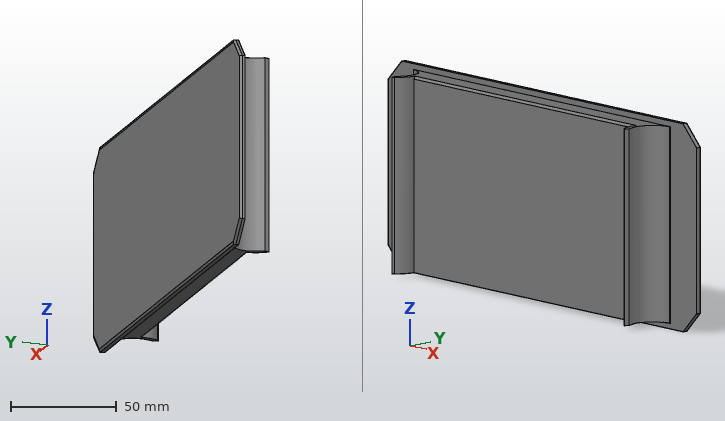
import cadquery as cq
import math

length = 230.0
height = 100.0
plate_thickness = 2.8
corner_cut = 10.1
back_bevel_depth = 1.4
back_bevel_inset = 0.5

body_margin = 2.8
body_height = height - 2 * body_margin
body_front = -13.8
top_bevel_height = 1.4
top_bevel_depth = 0.7

foot_x = 95.5
groove_x = 95.7
groove_y = -13.8
groove_radius = 10.5
lip_radius = 13.3
lip_x = groove_x
lip_y = -14.3
groove_end_y = -18.9
tip_x = 87.5
tip_y = -21.5
tip_front_x = 86.8
tip_front_y = -23.7
lip_end_y = -23.0


def groove_surface_x(y):
    """X of the groove, on its side facing the middle, at the given Y."""
    return groove_x - math.sqrt(groove_radius**2 - (y - groove_y) ** 2)


def lip_surface_x(y):
    """X of the lip's inner face at the given Y."""
    return lip_x - math.sqrt(lip_radius**2 - (y - lip_y) ** 2)


def make_plate():
    """Plate with cut corners and a bevel around its back face."""
    plate = (
        cq.Workplane("XY")
        .box(length, plate_thickness, height)
        .translate((0, -plate_thickness / 2, 0))
        .edges("|Y")
        .chamfer(corner_cut)
    )
    return plate.faces(">Y").chamfer(back_bevel_depth, back_bevel_inset)


def make_half_body():
    """The +X half of the body: a block ending in a hollow groove and a curved lip."""
    groove_start_y = groove_y + math.sqrt(groove_radius**2 - (groove_x - foot_x) ** 2)
    half = (
        cq.Workplane("XY")
        .moveTo(0, -plate_thickness / 2)
        .lineTo(foot_x, -plate_thickness / 2)
        .lineTo(foot_x, groove_start_y)
        .threePointArc(
            (groove_x - groove_radius, groove_y),
            (groove_surface_x(groove_end_y), groove_end_y),
        )
        .lineTo(tip_x, tip_y)
        .lineTo(tip_front_x, tip_front_y)
        .lineTo(lip_surface_x(lip_end_y), lip_end_y)
        .threePointArc(
            (lip_surface_x(groove_end_y), groove_end_y),
            (lip_surface_x(body_front), body_front),
        )
        .lineTo(0, body_front)
        .close()
        .extrude(body_height / 2, both=True)
    )
    return half


def make_top_bevel():
    """Wedge removed from the upper front edge of the body, between the lips."""
    top = body_height / 2
    half_width = lip_surface_x(body_front)
    return (
        cq.Workplane("YZ")
        .moveTo(body_front, top - top_bevel_height)
        .lineTo(body_front + top_bevel_depth, top)
        .lineTo(body_front, top)
        .close()
        .extrude(half_width, both=True)
    )


half_body = make_half_body()
body = half_body.union(half_body.mirror("YZ")).cut(make_top_bevel())
result = make_plate().union(body)